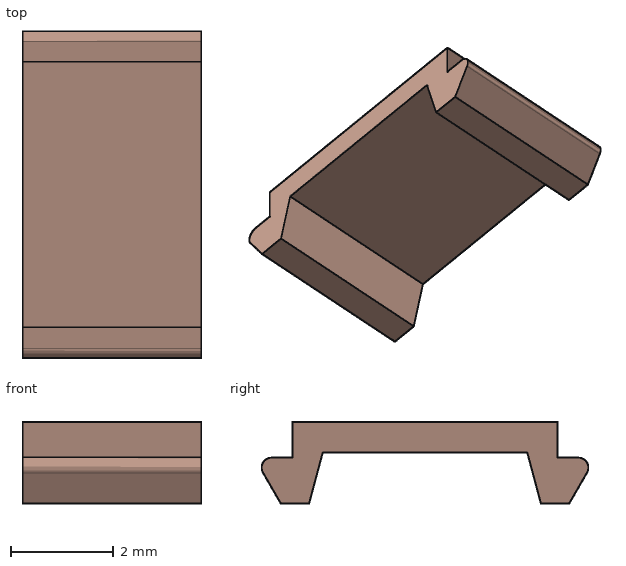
import cadquery as cq
import math

length_x = 3.5
span_y = 6.4
height = 1.6
plate_width = 5.2
plate_thickness = 0.6
shelf_drop = 0.7
channel_width = 4.0
inner_slope = math.radians(15)
outer_slope = math.radians(30)
nose_radius = 0.2

half_span = span_y / 2
half_plate = plate_width / 2
half_channel = channel_width / 2
shelf_z = height - shelf_drop
channel_z = height - plate_thickness
foot_inner_y = half_channel + channel_z * math.tan(inner_slope)

nose_y = half_span - nose_radius
nose_z = shelf_z - nose_radius


def nose_point(angle):
    """Point on the nose arc at an angle above the outward Y direction."""
    return (nose_y + nose_radius * math.cos(angle), nose_z + nose_radius * math.sin(angle))


nose_end_y, nose_end_z = nose_point(-outer_slope)
foot_outer_y = nose_end_y - nose_end_z * math.tan(outer_slope)


def half_clip():
    """The +Y half of the clip: plate, leg and rounded hook."""
    return (
        cq.Workplane("YZ")
        .moveTo(0, height)
        .lineTo(half_plate, height)
        .lineTo(half_plate, shelf_z)
        .lineTo(nose_y, shelf_z)
        .threePointArc(nose_point(0), (nose_end_y, nose_end_z))
        .lineTo(foot_outer_y, 0)
        .lineTo(foot_inner_y, 0)
        .lineTo(half_channel, channel_z)
        .lineTo(0, channel_z)
        .close()
        .extrude(length_x / 2, both=True)
    )


half = half_clip()
result = half.union(half.mirror("XZ")).clean()